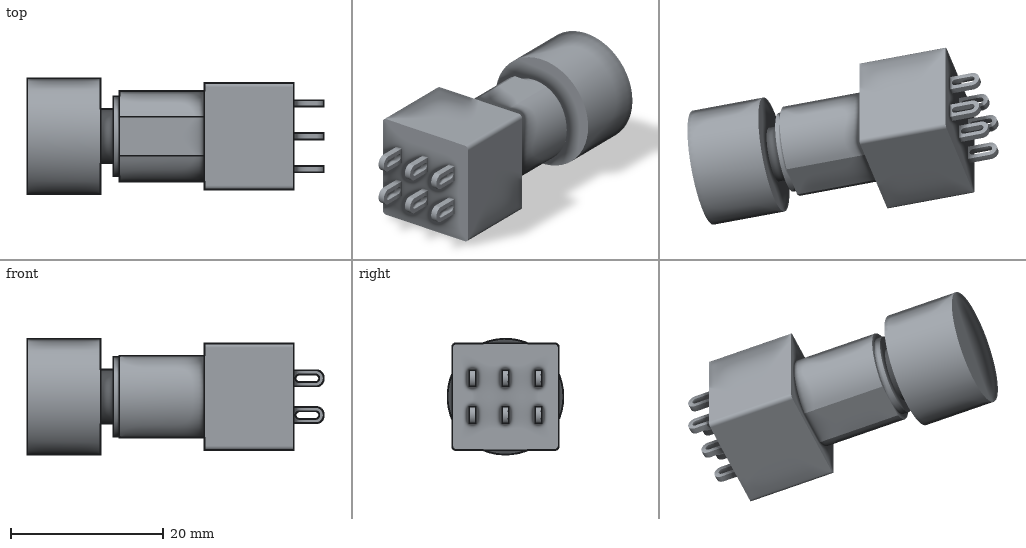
import cadquery as cq

total_length = 39.0

cap_radius = 7.623
cap_length = 9.67
stem_radius = 3.6

collar_start = 11.3
collar_radius = 5.25
barrel_start = 12.13
barrel_radius = 5.95
barrel_across_flats = 10.75
case_start = 23.28
case_end = 35.05
case_width = 14.05
case_edge_radius = 0.55

lug_width = 2.15
lug_thickness = 0.85
lug_tip_height = 0.85
lug_pitch_y = 4.33
lug_pitch_z = 4.85
lug_slot_length = 3.08
lug_slot_width = 0.97
lug_slot_gap = 0.25


def cylinder_along_x(start, end, radius):
    return cq.Workplane("YZ", origin=(start, 0, 0)).circle(radius).extrude(end - start)


def make_button():
    """Round cap with a stem that ends against the collar."""
    cap = cylinder_along_x(0, cap_length, cap_radius)
    stem = cylinder_along_x(cap_length, collar_start, stem_radius)
    return cap.union(stem)


def make_barrel():
    """Round barrel with a flat on its top and bottom."""
    barrel = cylinder_along_x(barrel_start, case_start, barrel_radius)
    flats = cq.Workplane("XY").box(
        case_start - barrel_start, 2 * barrel_radius, barrel_across_flats
    )
    return barrel.intersect(flats.translate(((barrel_start + case_start) / 2, 0, 0)))


def make_case():
    """Square case with its four long edges rounded."""
    return (
        cq.Workplane("YZ", origin=(case_start, 0, 0))
        .rect(case_width, case_width)
        .extrude(case_end - case_start)
        .edges("|X")
        .fillet(case_edge_radius)
    )


def make_lug(y, z):
    """Flat lug with a curved tip and a slot for the wire, centred at the given Y and Z."""
    half_width = lug_width / 2
    tip_start = total_length - lug_tip_height
    slot_middle = case_end + lug_slot_gap + lug_slot_length / 2
    blade = (
        cq.Workplane("XZ")
        .moveTo(case_end, -half_width)
        .lineTo(tip_start, -half_width)
        .threePointArc((total_length, 0), (tip_start, half_width))
        .lineTo(case_end, half_width)
        .close()
        .extrude(lug_thickness / 2, both=True)
    )
    slot = (
        cq.Workplane("XZ")
        .center(slot_middle, 0)
        .slot2D(lug_slot_length, lug_slot_width)
        .extrude(lug_thickness, both=True)
    )
    return blade.cut(slot).translate((0, y, z))


def make_housing():
    """Collar, barrel and case in one piece with the solder lugs on the rear face."""
    housing = cylinder_along_x(collar_start, barrel_start, collar_radius)
    housing = housing.union(make_barrel()).union(make_case())
    for y in (-lug_pitch_y, 0, lug_pitch_y):
        for z in (-lug_pitch_z / 2, lug_pitch_z / 2):
            housing = housing.union(make_lug(y, z))
    return housing


button = make_button()
housing = make_housing()

result = cq.Compound.makeCompound([button.val(), housing.val()])